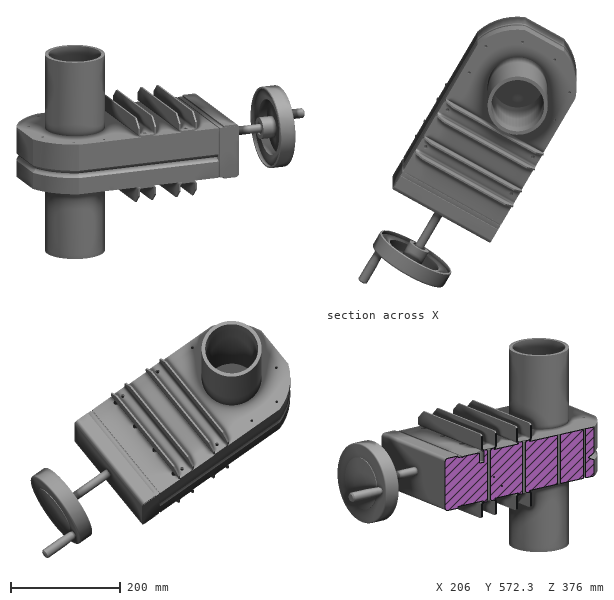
import cadquery as cq
import math


body_width = 206.0
body_height = 95.0
body_front = 99.0
body_back = 242.0
nose_radius = 108.5
nose_center_y = 1.5
half_width = body_width / 2
half_height = body_height / 2

groove_z = -9.5
groove_depth = 7.0
outline_back = body_back + groove_depth

pipe_diameter = 110.0
pipe_wall = 6.6
pipe_length = 376.0
gate_thickness = 10.0
bore_diameter = pipe_diameter - 2 * pipe_wall

screw_diameter = 5.0
screw_pitch = 80.0
screw_row_x = 90.0
screw_row_start = 21.7
nose_screws = [(88.0, -37.0), (34.0, -77.0)]

blind_diameter = 9.5
blind_depth = 20.0
blind_pitch = 58.5
blind_count = 4
blind_y = 198.2

sheet = 3.0
bend_radius = 7.0
channel_width = 35.0
channel_height = 33.0
channel_corner = 16.0
channel_hole_diameter = 7.0
channel_rows = [screw_row_start + screw_pitch, screw_row_start + 2 * screw_pitch]

neck_inset = 1.5
cover_inset = 0.5
block_front = 244.5
cover_front = 252.5
cover_back = 282.7

spindle_z = 3.5
spindle_diameter = 16.0
hub_diameter = 40.0
hub_front = 363.5
hub_recess_diameter = 24.0
hub_recess_depth = 2.0
wheel_diameter = 150.0
wheel_front = 375.5
wheel_back = 405.5
wheel_front_chamfer = 1.2
wheel_back_fillet = 3.0
lip_width = 3.5
lip_depth = 6.5
dish_diameter = 103.0
dish_edge_y = 398.5
dish_hub_y = 389.0
back_cone_diameter = 97.0
back_cone_y = 406.5
hub_back = 408.5

handle_x = -58.0
handle_diameter = 18.0
handle_base_diameter = 15.5
handle_neck_diameter = 13.0
handle_base_y = 409.0
handle_grip_y = 434.0
handle_end = 473.3
handle_tip_diameter = 13.0
handle_tip_length = 2.5


def box_between(x0, x1, y0, y1, z0, z1):
    """Axis-aligned box given by its limits."""
    return cq.Workplane("XY").box(x1 - x0, y1 - y0, z1 - z0, centered=False).translate((x0, y0, z0))


def rod(diameter, y0, y1, x=0.0):
    """Cylinder along Y at the spindle height."""
    plane = cq.Plane(origin=(x, y0, spindle_z), xDir=(1, 0, 0), normal=(0, 1, 0))
    return cq.Workplane(plane).circle(diameter / 2).extrude(y1 - y0)


def turned(profile, x=0.0):
    """Solid turned about a Y axis at the spindle height, from (radius, y) points."""
    plane = cq.Plane(origin=(x, 0, spindle_z), xDir=(1, 0, 0), normal=(0, 0, 1))
    return cq.Workplane(plane).polyline(profile).close().revolve(360, (0, 0, 0), (0, 1, 0))


def body_outline(inset, z):
    """Body outline in plan, moved inwards by the inset: flat nose, two arcs and straight sides."""
    side = half_width - inset
    front = body_front - inset
    radius = nose_radius - inset
    side_angle = math.acos(side / radius)
    nose_angle = math.asin((front + nose_center_y) / radius)
    middle_angle = (side_angle + nose_angle) / 2
    arc_start_y = nose_center_y - radius * math.sin(side_angle)
    nose_x = radius * math.cos(nose_angle)
    arc_x = radius * math.cos(middle_angle)
    arc_y = nose_center_y - radius * math.sin(middle_angle)
    return (
        cq.Workplane("XY", origin=(0, 0, z))
        .moveTo(side, outline_back)
        .lineTo(side, arc_start_y)
        .threePointArc((arc_x, arc_y), (nose_x, -front))
        .lineTo(-nose_x, -front)
        .threePointArc((-arc_x, arc_y), (-side, arc_start_y))
        .lineTo(-side, outline_back)
        .close()
    )


def make_body():
    """Two full-size slabs joined by two 45-degree tapers that meet at the groove root."""
    lower_edge = groove_z - groove_depth
    upper_edge = groove_z + groove_depth
    lower_slab = body_outline(0, -half_height).extrude(lower_edge + half_height)
    upper_slab = body_outline(0, upper_edge).extrude(half_height - upper_edge)
    lower_taper = body_outline(0, lower_edge).extrude(groove_depth, taper=45)
    upper_taper = body_outline(0, upper_edge).extrude(-groove_depth, taper=45)
    body = lower_slab.union(lower_taper).union(upper_taper).union(upper_slab)
    overhang = box_between(
        -half_width, half_width, body_back, outline_back, -half_height, half_height
    )
    return body.cut(overhang)


def make_channel(y):
    """Upward U channel standing on the top face of the body."""
    top = half_height + channel_height
    outer = (
        box_between(-half_width, half_width, y - channel_width / 2, y + channel_width / 2, half_height, top)
        .edges("|X and <Z").fillet(bend_radius)
    )
    inner = (
        box_between(
            -half_width, half_width,
            y - channel_width / 2 + sheet, y + channel_width / 2 - sheet,
            half_height + sheet, top + bend_radius,
        )
        .edges("|X and <Z").fillet(bend_radius - sheet)
    )
    return outer.edges("|Y and >Z").chamfer(channel_corner).cut(inner)


def make_channels():
    channels = make_channel(channel_rows[0]).union(make_channel(channel_rows[1]))
    return channels.union(channels.mirror("XY"))


def make_end_block():
    """Block behind the body with a narrower neck and a sheet cover bent around its back."""
    neck_x = half_width - neck_inset
    neck_z = half_height - neck_inset
    neck = box_between(-neck_x, neck_x, body_back, block_front, -neck_z, neck_z)
    block = box_between(
        -half_width, half_width, block_front, cover_back - sheet, -half_height, half_height
    )
    cover_z = half_height + sheet
    cover_x = half_width - cover_inset
    cover = (
        box_between(-cover_x, cover_x, cover_front, cover_back, -cover_z, cover_z)
        .edges("|X and >Y").fillet(bend_radius)
    )
    return neck.union(block.union(cover))


def pipe_cylinder(diameter, z0, z1):
    """Cylinder on the pipe axis."""
    return cq.Workplane("XY", origin=(0, 0, z0)).circle(diameter / 2).extrude(z1 - z0)


def make_pipes():
    return pipe_cylinder(pipe_diameter, -pipe_length / 2, pipe_length / 2)


def make_bores():
    """Pipe bore, interrupted by the closed gate."""
    below = pipe_cylinder(bore_diameter, -pipe_length / 2, groove_z - gate_thickness / 2)
    above = pipe_cylinder(bore_diameter, groove_z + gate_thickness / 2, pipe_length / 2)
    return below.union(above)


def mirrored_holes(points, diameter, height):
    """Vertical holes centred on the body height, at the points and at their mirror images in X."""
    left_points = [(-x, y) for x, y in points]
    return (
        cq.Workplane("XY", origin=(0, 0, -height / 2))
        .pushPoints(points + left_points).circle(diameter / 2).extrude(height)
    )


def make_screw_holes():
    """Holes through the body, under the channels and around the nose."""
    front_row = [(screw_row_x, screw_row_start)]
    channel_screws = [(screw_row_x, y) for y in channel_rows]
    return mirrored_holes(front_row + channel_screws + nose_screws, screw_diameter, body_height)


def make_channel_holes():
    """Wider clearance holes through the channel sheets."""
    points = [(screw_row_x, y) for y in channel_rows]
    return mirrored_holes(points, channel_hole_diameter, body_height + 2 * sheet)


def make_blind_holes():
    return (
        cq.Workplane("XY", origin=(0, blind_y, half_height - blind_depth))
        .rarray(blind_pitch, 1, blind_count, 1).circle(blind_diameter / 2).extrude(blind_depth)
    )


def make_handwheel():
    """Rim with a lip, a conical dish around the hub, and a low cone on the back."""
    rim = (
        rod(wheel_diameter, wheel_front, wheel_back)
        .faces(">Y").edges().fillet(wheel_back_fillet)
        .faces("<Y").edges().chamfer(wheel_front_chamfer)
    )
    rim = rim.cut(rod(wheel_diameter - 2 * lip_width, wheel_front, wheel_front + lip_depth))
    dish = turned([
        (0, wheel_front),
        (dish_diameter / 2, wheel_front),
        (dish_diameter / 2, dish_edge_y),
        (hub_diameter / 2, dish_hub_y),
        (0, dish_hub_y),
    ])
    back_cone = turned([
        (0, wheel_back),
        (back_cone_diameter / 2, wheel_back),
        (back_cone_diameter / 2, back_cone_y),
        (hub_diameter / 2, hub_back),
        (0, hub_back),
    ])
    wheel = (
        rim.cut(dish)
        .union(rod(hub_diameter, hub_front, wheel_back))
        .union(back_cone)
    )
    return wheel.cut(rod(hub_recess_diameter, hub_front, hub_front + hub_recess_depth))


def make_handle():
    grip = turned(
        [
            (0, handle_base_y),
            (handle_base_diameter / 2, handle_base_y),
            (handle_diameter / 2, handle_grip_y),
            (handle_diameter / 2, handle_end - handle_tip_length),
            (handle_tip_diameter / 2, handle_end),
            (0, handle_end),
        ],
        handle_x,
    )
    return grip.union(rod(handle_neck_diameter, wheel_back - wheel_back_fillet, handle_base_y, handle_x))


channels = make_channels().cut(make_channel_holes())
valve = make_body().union(make_pipes()).cut(make_bores())
valve = valve.cut(make_screw_holes()).cut(make_blind_holes())
valve = valve.union(channels).union(make_end_block())
spindle = rod(spindle_diameter, block_front, wheel_back)
result = valve.union(make_handwheel()).union(spindle).union(make_handle())